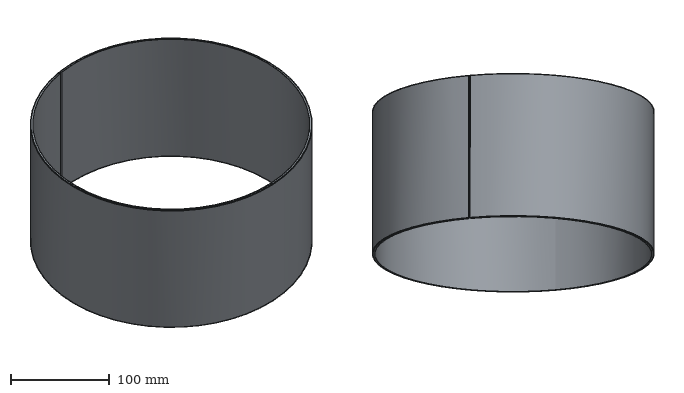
import cadquery as cq

outer_diameter = 285.0
height = 150.0
wall = 2.5
gap = 2.0
rim_chamfer = 0.5

outer_radius = outer_diameter / 2
inner_radius = outer_radius - wall

disc = cq.Workplane("XY").circle(outer_radius).extrude(height)
disc = disc.faces("|Z").edges().chamfer(rim_chamfer)

bore = cq.Workplane("XY").circle(inner_radius).extrude(height)
band = disc.cut(bore)

slit = cq.Workplane("XY").box(outer_radius, gap, height, centered=(True, False, False))
slit = slit.translate((-outer_radius, 0, 0))

result = band.cut(slit)